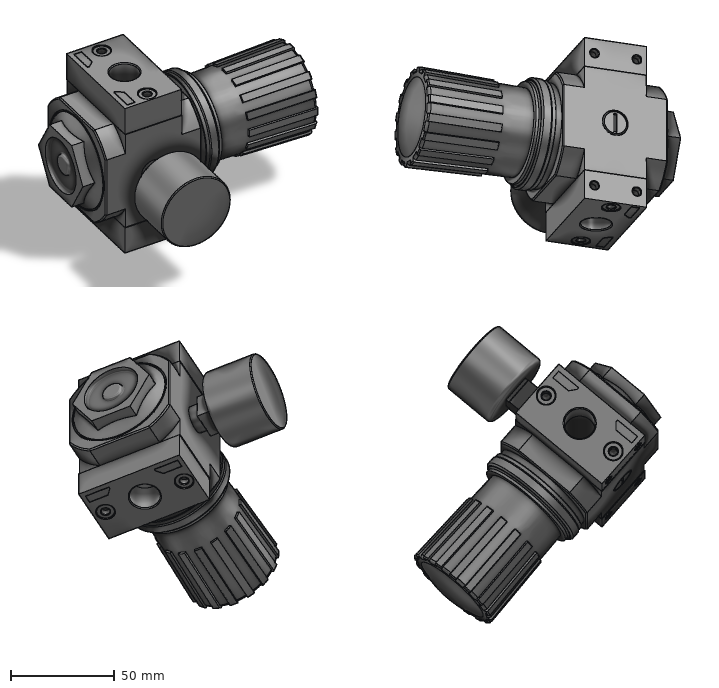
import cadquery as cq
import math


BODY_SIDE = 54.8
BODY_LENGTH = 54.3
BODY_CORNER_RADIUS = 31.9
BODY_END_CHAMFER = 0.7
BODY_HALF = BODY_SIDE / 2
BODY_END = BODY_LENGTH / 2

NECK_RADIUS = 26.0
SEAL_RADIUS = 26.9
NUT_RADIUS = 27.4
NUT_TOP_RADIUS = 26.5
LIP_FOOT_RADIUS = 25.9
LIP_RADIUS = 25.1
NECK_TOP = 30.4
SEAL_TOP = 32.3
NUT_BOTTOM_EDGE = 33.0
NUT_TOP_EDGE = 36.9
NUT_TOP = 37.8
LIP_BOTTOM = 38.6
COLLAR_TOP = 40.1

CAP_FRONT = -36.0
CAP_FLATS = 36.2
CAP_RADIUS = 24.8
CAP_CONE_SLOPE = 0.54
CAP_GROOVE_RADIUS = 25.6
CAP_GROOVE_DEPTH = 0.7
CAP_RECESS_RADIUS = 14.51
CAP_RECESS_DEPTH = 2.8
CAP_RECESS_FILLET = 1.2
CAP_BOSS_RADIUS = 5.47
CAP_BOSS_SINK = 1.0
CAP_BOSS_FOOT_FILLET = 0.5
CAP_BOSS_TOP_FILLET = 1.2

PLATE_WIDTH_X = 54.8
PLATE_WIDTH_Y = 32.0
PLATE_SHIFT_X = -0.4
PLATE_TOP = 42.5
PLATE_THICKNESS = PLATE_TOP - BODY_HALF
PORT_DIAMETER = 15.0
PORT_MOUTH_DIAMETER = 16.0

SCREW_SPACING = 42.8
SCREW_DIAMETER = 8.6
SCREW_MOUTH_DIAMETER = 9.6
SCREW_SINK = 0.3

BLIND_MOUTH_DIAMETER = 5.0
BLIND_DIAMETER = 4.2
BLIND_DEPTH = 3.4
DRILL_POINT_ANGLE = 118
SIDE_HOLE_SPACING = 21.9
SIDE_HOLE_Z = 35.0

TAG_LENGTH = 12.7
TAG_WIDTH = 4.3
TAG_TIP = 2.7
TAG_DEPTH = 0.3
TAG_OUTER_END = 25.1
TAG_Y = -11.1

PLUG_DIAMETER = 13.1
PLUG_FACE_DIAMETER = 11.5
PLUG_LENGTH = 6.8
PLUG_SLOT_WIDTH = 1.5
PLUG_SLOT_LENGTH = 9.6
PLUG_SLOT_DEPTH = 1.4

GAUGE_NECK_DIAMETER = 13.8
GAUGE_BLOCK_START = 32.1
GAUGE_BLOCK_SIDE = 14.3
GAUGE_NOTCH_START = 38.9
GAUGE_NOTCH_HEIGHT = 11.9
GAUGE_CASE_START = 40.8
GAUGE_CASE_END = 67.6
GAUGE_DIAMETER = 39.0
GAUGE_BACK_FILLET = 1.9
GAUGE_FRONT_CHAMFER = 0.5

BARREL_RADIUS = 22.0
WAIST_RADIUS = 22.4
WAIST_Y = 58.0
KNOB_TOP = 95.0
KNOB_CORE_TOP_RADIUS = 23.5
KNOB_RIM_FILLET = 1.5
DOME_RADIUS = 19.7
DOME_TOP = 99.0
RIB_COUNT = 16
RIB_WIDTH = 3.9
RIB_BOTTOM = 56.4
RIB_BOTTOM_RADIUS = 23.5
RIB_TOP_RADIUS = 24.6
RIB_ROOT_RADIUS = 18.9
RIB_TOP_CHAMFER = 0.7


def revolve_about_y(points):
    """Revolves a closed (radius, Y) outline about the regulator axis."""
    return cq.Workplane("XY").polyline(points).close().revolve(360, (0, 0), (0, 1))


def cylinder_y(radius, y_start, y_end):
    return cq.Workplane("XZ", origin=(0, y_start, 0)).circle(radius).extrude(y_start - y_end)


def tapered_plug(mouth_diameter, diameter, depth):
    """A cylinder below Z = 0 whose top end flares or narrows at 45 degrees to the mouth diameter."""
    flare = abs(mouth_diameter - diameter) / 2
    outline = [
        (0, 0),
        (mouth_diameter / 2, 0),
        (diameter / 2, -flare),
        (diameter / 2, -depth),
        (0, -depth),
    ]
    return cq.Workplane("XZ").polyline(outline).close().revolve(360, (0, 0), (0, 1))


def blind_hole():
    """Cutter for a blind hole that opens at Z = 0 and runs down -Z."""
    point_depth = BLIND_DIAMETER / 2 / math.tan(math.radians(DRILL_POINT_ANGLE / 2))
    flare = (BLIND_MOUTH_DIAMETER - BLIND_DIAMETER) / 2
    outline = [
        (0, 0),
        (BLIND_MOUTH_DIAMETER / 2, 0),
        (BLIND_DIAMETER / 2, -flare),
        (BLIND_DIAMETER / 2, -BLIND_DEPTH),
        (0, -BLIND_DEPTH - point_depth),
    ]
    return cq.Workplane("XZ").polyline(outline).close().revolve(360, (0, 0), (0, 1))


def make_block():
    ends = cq.Workplane("XY").box(BODY_SIDE, BODY_LENGTH, BODY_SIDE)
    ends = ends.intersect(cylinder_y(BODY_CORNER_RADIUS, -BODY_END, BODY_END))
    ends = ends.faces("<Y or >Y").chamfer(BODY_END_CHAMFER)
    middle = cq.Workplane("XY").box(BODY_SIDE, PLATE_WIDTH_Y, BODY_SIDE)
    return ends.union(middle)


def make_collar():
    return revolve_about_y([
        (0, BODY_END),
        (NECK_RADIUS, BODY_END),
        (NECK_RADIUS, NECK_TOP),
        (SEAL_RADIUS, NECK_TOP),
        (SEAL_RADIUS, SEAL_TOP),
        (NUT_RADIUS, NUT_BOTTOM_EDGE),
        (NUT_RADIUS, NUT_TOP_EDGE),
        (NUT_TOP_RADIUS, NUT_TOP),
        (LIP_FOOT_RADIUS, NUT_TOP),
        (LIP_RADIUS, LIP_BOTTOM),
        (LIP_RADIUS, COLLAR_TOP),
        (0, COLLAR_TOP),
    ])


def make_cap():
    hexagon = (
        cq.Workplane("XZ", origin=(0, -BODY_END, 0))
        .polygon(6, CAP_FLATS, circumscribed=True)
        .extrude(-BODY_END - CAP_FRONT)
        .rotate((0, 0, 0), (0, 1, 0), 30)
    )
    cone_height = (CAP_RADIUS - CAP_RECESS_RADIUS) * CAP_CONE_SLOPE
    cone = revolve_about_y([
        (0, -BODY_END + CAP_GROOVE_DEPTH),
        (CAP_RADIUS, -BODY_END + CAP_GROOVE_DEPTH),
        (CAP_RADIUS, -BODY_END),
        (CAP_RECESS_RADIUS, -BODY_END - cone_height),
        (0, -BODY_END - cone_height),
    ])
    floor = CAP_FRONT + CAP_RECESS_DEPTH
    boss_top = CAP_FRONT + CAP_BOSS_SINK
    boss_face_radius = CAP_BOSS_RADIUS - CAP_BOSS_TOP_FILLET
    boss_foot_radius = CAP_BOSS_RADIUS + CAP_BOSS_FOOT_FILLET
    floor_radius = CAP_RECESS_RADIUS - CAP_RECESS_FILLET
    recess = (
        cq.Workplane("XY")
        .moveTo(0, CAP_FRONT)
        .lineTo(CAP_RECESS_RADIUS, CAP_FRONT)
        .lineTo(CAP_RECESS_RADIUS, floor - CAP_RECESS_FILLET)
        .radiusArc((floor_radius, floor), -CAP_RECESS_FILLET)
        .lineTo(boss_foot_radius, floor)
        .radiusArc((CAP_BOSS_RADIUS, floor - CAP_BOSS_FOOT_FILLET), -CAP_BOSS_FOOT_FILLET)
        .lineTo(CAP_BOSS_RADIUS, boss_top + CAP_BOSS_TOP_FILLET)
        .radiusArc((boss_face_radius, boss_top), CAP_BOSS_TOP_FILLET)
        .lineTo(0, boss_top)
        .close()
        .revolve(360, (0, 0), (0, 1))
    )
    return hexagon.union(cone).cut(recess)


def make_housing():
    groove = cylinder_y(CAP_GROOVE_RADIUS, -BODY_END, -BODY_END + CAP_GROOVE_DEPTH)
    port = cq.Workplane("XY").circle(PORT_DIAMETER / 2).extrude(BODY_HALF, both=True)
    plug_hole = (
        cq.Workplane("YZ", origin=(-BODY_HALF, 0, 0)).circle(PLUG_DIAMETER / 2).extrude(PLUG_LENGTH)
    )
    return make_block().cut(groove).union(make_cap()).union(make_collar()).cut(port).cut(plug_hole)


def screw_places():
    half = SCREW_SPACING / 2
    return [(-half, 0, PLATE_TOP), (half, 0, PLATE_TOP)]


def tag_pocket(side):
    """Cutter for one direction tag; side is -1 or 1 and its tip points to the middle of the plate."""
    outer = side * TAG_OUTER_END
    tip = side * (TAG_OUTER_END - TAG_LENGTH)
    shoulder = tip + side * TAG_TIP
    low = TAG_Y - TAG_WIDTH / 2
    high = TAG_Y + TAG_WIDTH / 2
    outline = [(outer, low), (tip, low), (tip, low + TAG_WIDTH / 4), (shoulder, high), (outer, high)]
    return (
        cq.Workplane("XY", origin=(PLATE_SHIFT_X, 0, PLATE_TOP - TAG_DEPTH))
        .polyline(outline)
        .close()
        .extrude(TAG_DEPTH)
    )


def make_upper_plate():
    plate = cq.Workplane("XY").box(PLATE_WIDTH_X, PLATE_WIDTH_Y, PLATE_THICKNESS)
    plate = plate.translate((PLATE_SHIFT_X, 0, PLATE_TOP - PLATE_THICKNESS / 2))
    port = tapered_plug(PORT_MOUTH_DIAMETER, PORT_DIAMETER, PLATE_THICKNESS)
    plate = plate.cut(port.translate((0, 0, PLATE_TOP)))
    screw_hole = tapered_plug(SCREW_MOUTH_DIAMETER, SCREW_DIAMETER, PLATE_THICKNESS)
    for place in screw_places():
        plate = plate.cut(screw_hole.translate(place))
    outer_x = PLATE_SHIFT_X - PLATE_WIDTH_X / 2
    side_hole = blind_hole().rotate((0, 0, 0), (0, 1, 0), -90)
    for y in (-SIDE_HOLE_SPACING / 2, SIDE_HOLE_SPACING / 2):
        plate = plate.cut(side_hole.translate((outer_x, y, SIDE_HOLE_Z)))
    for side in (-1, 1):
        plate = plate.cut(tag_pocket(side))
    return plate


def make_upper_screw(place):
    length = PLATE_THICKNESS - SCREW_SINK
    screw = cq.Workplane("XY").circle(SCREW_DIAMETER / 2).extrude(-length).cut(blind_hole())
    return screw.translate(place).translate((0, 0, -SCREW_SINK))


def make_plug():
    plug = tapered_plug(PLUG_FACE_DIAMETER, PLUG_DIAMETER, PLUG_LENGTH)
    slot = cq.Workplane("XY").rect(PLUG_SLOT_LENGTH, PLUG_SLOT_WIDTH).extrude(-PLUG_SLOT_DEPTH)
    return plug.cut(slot).rotate((0, 0, 0), (0, 1, 0), -90).translate((-BODY_HALF, 0, 0))


def make_gauge():
    neck = (
        cq.Workplane("YZ", origin=(BODY_HALF, 0, 0))
        .circle(GAUGE_NECK_DIAMETER / 2)
        .extrude(GAUGE_BLOCK_START - BODY_HALF)
    )
    square = (
        cq.Workplane("YZ", origin=(GAUGE_BLOCK_START, 0, 0))
        .rect(GAUGE_BLOCK_SIDE, GAUGE_BLOCK_SIDE)
        .extrude(GAUGE_NOTCH_START - GAUGE_BLOCK_START)
    )
    notched = (
        cq.Workplane("YZ", origin=(GAUGE_NOTCH_START, 0, 0))
        .rect(GAUGE_BLOCK_SIDE, GAUGE_NOTCH_HEIGHT)
        .extrude(GAUGE_CASE_START - GAUGE_NOTCH_START)
    )
    case = (
        cq.Workplane("YZ", origin=(GAUGE_CASE_START, 0, 0))
        .circle(GAUGE_DIAMETER / 2)
        .extrude(GAUGE_CASE_END - GAUGE_CASE_START)
    )
    case = case.faces("<X").edges().fillet(GAUGE_BACK_FILLET)
    case = case.faces(">X").edges().chamfer(GAUGE_FRONT_CHAMFER)
    return neck.union(square).union(notched).union(case)


def knob_rib():
    """The rib on the +X side of the knob, sloping outwards towards the top."""
    outline = [
        (RIB_ROOT_RADIUS, RIB_BOTTOM),
        (RIB_BOTTOM_RADIUS, RIB_BOTTOM),
        (RIB_TOP_RADIUS, KNOB_TOP - RIB_TOP_CHAMFER),
        (RIB_TOP_RADIUS - RIB_TOP_CHAMFER, KNOB_TOP),
        (RIB_ROOT_RADIUS, KNOB_TOP),
    ]
    return cq.Workplane("XY").polyline(outline).close().extrude(RIB_WIDTH / 2, both=True)


def make_knob():
    fillet_middle = KNOB_RIM_FILLET * math.sqrt(0.5)
    fillet_y = KNOB_TOP - KNOB_RIM_FILLET
    fillet_x = KNOB_CORE_TOP_RADIUS - KNOB_RIM_FILLET
    dome_sag = DOME_TOP - KNOB_TOP
    dome_sphere = (DOME_RADIUS**2 + dome_sag**2) / (2 * dome_sag)
    dome_mid_x = DOME_RADIUS / 2
    dome_mid_y = DOME_TOP - dome_sphere + math.sqrt(dome_sphere**2 - dome_mid_x**2)
    knob = (
        cq.Workplane("XY")
        .moveTo(0, COLLAR_TOP)
        .lineTo(BARREL_RADIUS, COLLAR_TOP)
        .threePointArc((WAIST_RADIUS, WAIST_Y), (KNOB_CORE_TOP_RADIUS, fillet_y))
        .threePointArc((fillet_x + fillet_middle, fillet_y + fillet_middle), (fillet_x, KNOB_TOP))
        .lineTo(DOME_RADIUS, KNOB_TOP)
        .threePointArc((dome_mid_x, dome_mid_y), (0, DOME_TOP))
        .close()
        .revolve(360, (0, 0), (0, 1))
    )
    rib = knob_rib()
    for index in range(RIB_COUNT):
        knob = knob.union(rib.rotate((0, 0, 0), (0, 1, 0), index * 360 / RIB_COUNT))
    return knob


housing = make_housing()
upper_plate = make_upper_plate()
plates = [upper_plate, upper_plate.mirror("XY")]
upper_screws = [make_upper_screw(place) for place in screw_places()]
screws = upper_screws + [screw.mirror("XY") for screw in upper_screws]
plug = make_plug()
gauge = make_gauge()
knob = make_knob()

result = cq.Compound.makeCompound([
    housing.val(),
    *[plate.val() for plate in plates],
    *[screw.val() for screw in screws],
    plug.val(),
    gauge.val(),
    knob.val(),
])